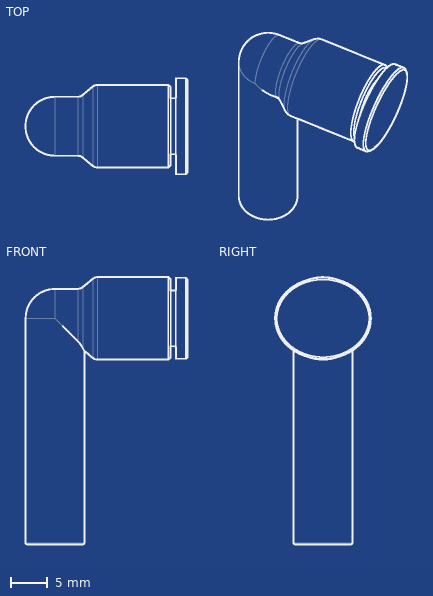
import cadquery as cq
import math


STEM_RADIUS = 4.0
STEM_LENGTH = 30.6
STEM_END_FILLET = 0.25

BODY_RADIUS = 5.6
BODY_END_X = 15.65
BODY_END_CHAMFER = 0.3
CONE_START_X = 3.46
CONE_ANGLE = 40.0
CONE_BLEND_RADIUS = 1.0
CONE_LENGTH = (BODY_RADIUS - STEM_RADIUS) / math.tan(math.radians(CONE_ANGLE))
CONE_END_X = CONE_START_X + CONE_LENGTH

COLLAR_RADIUS = 3.8
COLLAR_ROOT_FILLET = 0.1
FLANGE_WIDTH_Y = 13.0
FLANGE_HEIGHT_Z = 11.0
FLANGE_THICKNESS = 1.6
FLANGE_END_X = 17.95
FLANGE_START_X = FLANGE_END_X - FLANGE_THICKNESS
FLANGE_EDGE_CHAMFER = 0.25


def make_stem():
    """Vertical stem with a rounded lower end."""
    stem = cq.Workplane("XY").circle(STEM_RADIUS).extrude(-STEM_LENGTH)
    return stem.faces("<Z").edges().fillet(STEM_END_FILLET)


def make_corner():
    """Sphere that closes the outside of the bend."""
    return cq.Workplane("XY").sphere(STEM_RADIUS)


def make_socket():
    """Horizontal neck, cone and body, revolved about X, with blended cone ends."""
    profile = [
        (0, 0),
        (0, STEM_RADIUS),
        (CONE_START_X, STEM_RADIUS),
        (CONE_END_X, BODY_RADIUS),
        (BODY_END_X, BODY_RADIUS),
        (BODY_END_X, 0),
    ]
    socket = cq.Workplane("XY").polyline(profile).close().revolve(360, (0, 0, 0), (1, 0, 0))
    for blend_x in (CONE_START_X, CONE_END_X):
        blend_point = (blend_x, 0, 0)
        socket = socket.edges(cq.selectors.NearestToPointSelector(blend_point)).fillet(CONE_BLEND_RADIUS)
    return socket.faces(">X").edges().chamfer(BODY_END_CHAMFER)


def make_collar():
    """Round neck leaving the body, ending in the oval flange, with a small fillet at the root."""
    neck = (
        cq.Workplane("YZ")
        .workplane(offset=BODY_END_X)
        .circle(COLLAR_RADIUS)
        .extrude(FLANGE_START_X - BODY_END_X)
    )
    flange = (
        cq.Workplane("YZ")
        .workplane(offset=FLANGE_START_X)
        .ellipse(FLANGE_WIDTH_Y / 2, FLANGE_HEIGHT_Z / 2)
        .extrude(FLANGE_THICKNESS)
        .faces(">X")
        .edges()
        .chamfer(FLANGE_EDGE_CHAMFER)
    )
    collar = neck.union(flange)
    root_edge = collar.edges("%CIRCLE and (not <X)")
    return root_edge.fillet(COLLAR_ROOT_FILLET)


result = make_stem().union(make_corner()).union(make_socket()).union(make_collar())